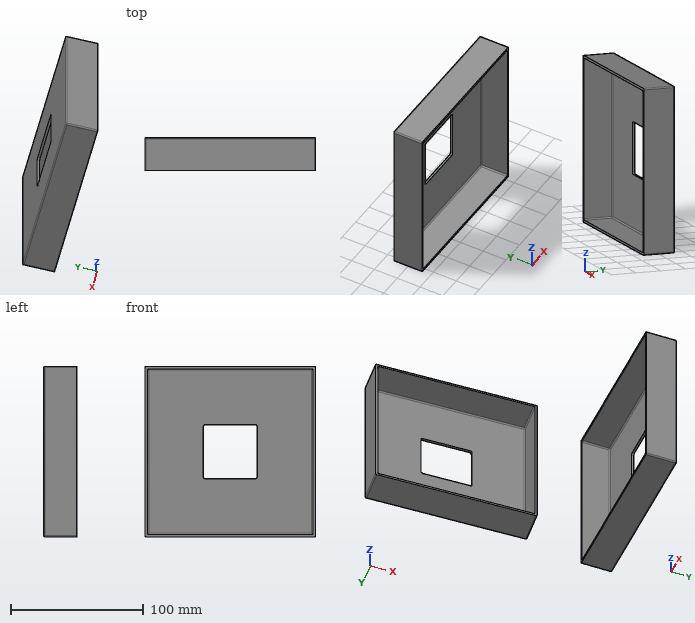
import cadquery as cq

side = 129.0
depth = 25.0
wall = 1.9
plate = wall
edge_radius = 1.0
window_side = 40.6
window_corner_radius = 1.5


def square_prism(width, y_start, y_end):
    """Square block centred on the Y axis, running from y_start to y_end."""
    length = y_end - y_start
    return cq.Workplane("XY").box(width, length, width).translate((0, y_start + length / 2, 0))


rim_y = -depth / 2
back_y = depth / 2
floor_y = back_y - plate

body = square_prism(side, rim_y, back_y).edges("|Y or >Y").fillet(edge_radius)

cavity = square_prism(side - 2 * wall, rim_y, floor_y).edges("|Y or >Y").fillet(edge_radius)

window = square_prism(window_side, rim_y, back_y).edges("|Y").fillet(window_corner_radius)

result = body.cut(cavity).cut(window)